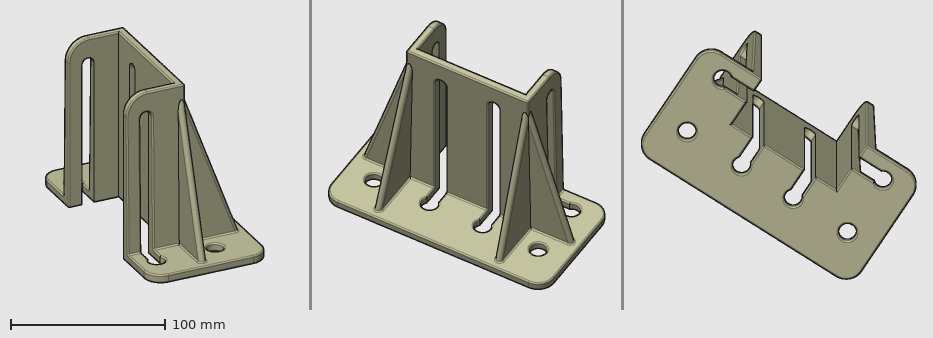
import cadquery as cq
import math

BASE_LENGTH = 168.0
BASE_DEPTH = 85.0
BASE_THICKNESS = 6.0
BASE_CORNER_RADIUS = 12.0

HEIGHT = 120.0
WALL_TOP_WIDTH = 92.0
WALL_BACK_Y = 42.0
CHANNEL_WIDTH = 81.0
CHANNEL_DEPTH = 36.0
SIDE_DRAFT_DEG = 1.0
WALL_CORNER_RADIUS = 15.0
CHANNEL_HALF = CHANNEL_WIDTH / 2
WALL_TOP_HALF = WALL_TOP_WIDTH / 2
DRAFT_SLOPE = math.tan(math.radians(SIDE_DRAFT_DEG))
WALL_FOOT_HALF = WALL_TOP_HALF + HEIGHT * DRAFT_SLOPE

HOLE_DIAMETER = 11.6
SLOT_WIDTH = 8.6
SLOT_TOP_Z = 106.0
BACK_SLOT_X = 20.0
HOLE_BACK_Y = 56.0
HOLE_FRONT_Y = HOLE_BACK_Y - WALL_BACK_Y
HOLE_X = 62.0
HOLE_CENTERS = [
    (BACK_SLOT_X, HOLE_BACK_Y),
    (HOLE_X, HOLE_BACK_Y),
    (HOLE_X, HOLE_FRONT_Y),
]

RIB_THICKNESS = 5.0
RIB_TOP_Z = 109.5
RIB_FOOT_MARGIN = 5.0
SIDE_RIB_FOOT_X = BASE_LENGTH / 2 - RIB_FOOT_MARGIN
BACK_RIB_FOOT_Y = BASE_DEPTH - RIB_FOOT_MARGIN
RIB_ROOT = 3.0

EDGE_RADIUS = 1.0
TOLERANCE = 0.05


def wall_half_width(z):
    """Half width over the drafted outer side faces at height z."""
    return WALL_TOP_HALF + (HEIGHT - z) * DRAFT_SLOPE


def make_base():
    return (
        cq.Workplane("XY")
        .box(BASE_LENGTH, BASE_DEPTH, BASE_THICKNESS, centered=(True, False, False))
        .edges("|Z")
        .fillet(BASE_CORNER_RADIUS)
    )


def make_wall():
    """Drafted block with rounded front top corners and vertical back corners; the channel is cut later."""
    block = (
        cq.Workplane("XZ")
        .polyline([
            (-WALL_FOOT_HALF, 0),
            (WALL_FOOT_HALF, 0),
            (WALL_TOP_HALF, HEIGHT),
            (-WALL_TOP_HALF, HEIGHT),
        ])
        .close()
        .extrude(-WALL_BACK_Y)
    )
    front_top_corners = block.faces("<Y").edges(">Z")
    block = front_top_corners.fillet(WALL_CORNER_RADIUS)
    back_corners = block.faces(">Y").edges().filter(lambda edge: edge.BoundingBox().zlen > HEIGHT / 2)
    return block.newObject(back_corners.vals()).fillet(EDGE_RADIUS)


def cut_channel(body):
    channel = cq.Workplane("XY").box(
        CHANNEL_WIDTH, CHANNEL_DEPTH, HEIGHT, centered=(True, False, False))
    return body.cut(channel)


def upright_rib(foot_reach):
    """Triangular rib running along +X from its root at x = -RIB_ROOT; its outer edge is fully rounded.

    The sloping crest passes through (0, RIB_TOP_Z) and (foot_reach, BASE_THICKNESS).
    The rib is centred on y = 0.
    """
    radius = RIB_THICKNESS / 2
    slope = foot_reach / (RIB_TOP_Z - BASE_THICKNESS)
    lean = math.atan(slope)
    inset = radius / math.cos(lean)

    axis_foot_x = foot_reach + slope * BASE_THICKNESS - inset
    axis_top_z = (axis_foot_x + RIB_ROOT) / slope
    slab = (
        cq.Workplane("XZ")
        .polyline([(-RIB_ROOT, 0), (axis_foot_x, 0), (-RIB_ROOT, axis_top_z)])
        .close()
        .extrude(radius, both=True)
    )
    start = cq.Vector(axis_foot_x, 0, 0)
    end = cq.Vector(-RIB_ROOT, 0, axis_top_z)
    nose = cq.Workplane(cq.Solid.makeCylinder(radius, (end - start).Length, start, end - start))
    rib = slab.union(nose)
    above_plate_middle = cq.Workplane("XY").box(
        2 * BASE_LENGTH, 2 * RIB_THICKNESS, 2 * HEIGHT, centered=(True, True, False)
    ).translate((0, 0, BASE_THICKNESS / 2))
    return rib.intersect(above_plate_middle)


def mirrored_pair(shape):
    return shape.union(shape.mirror("YZ"))


def make_side_ribs():
    """Ribs along X, their back faces flush with the back of the wall."""
    wall_half = wall_half_width(RIB_TOP_Z)
    rib = upright_rib(SIDE_RIB_FOOT_X - wall_half)
    rib = rib.translate((wall_half, WALL_BACK_Y - RIB_THICKNESS / 2, 0))
    return mirrored_pair(rib)


def make_back_ribs():
    """Ribs along +Y, leaning with the draft so that they stay flush with the side faces."""
    rib = upright_rib(BACK_RIB_FOOT_Y - WALL_BACK_Y)
    rib = rib.rotate((0, 0, 0), (0, 0, 1), 90)
    half_thickness_along_x = RIB_THICKNESS / 2 / math.cos(math.radians(SIDE_DRAFT_DEG))
    rib = rib.rotate((0, 0, 0), (0, 1, 0), -SIDE_DRAFT_DEG)
    rib = rib.translate((WALL_FOOT_HALF - half_thickness_along_x, WALL_BACK_Y, 0))
    return mirrored_pair(rib)


def slot_cutter(length):
    """Round-topped slot rising from the plate's underside, running along +Y from the origin."""
    radius = SLOT_WIDTH / 2
    straight = SLOT_TOP_Z - radius
    return (
        cq.Workplane("XZ")
        .moveTo(-radius, 0)
        .lineTo(radius, 0)
        .lineTo(radius, straight)
        .threePointArc((0, SLOT_TOP_Z), (-radius, straight))
        .close()
        .extrude(-length)
    )


def cut_holes_and_slots(body):
    """Each slot crosses a wall and the plate below it, and ends in a wider hole through the plate."""
    back_slot = slot_cutter(HOLE_BACK_Y - CHANNEL_DEPTH)
    back_slot = back_slot.translate((BACK_SLOT_X, CHANNEL_DEPTH, 0))
    side_slot = slot_cutter(HOLE_X - CHANNEL_HALF)
    side_slot = side_slot.rotate((0, 0, 0), (0, 0, 1), -90)
    side_slot = side_slot.translate((CHANNEL_HALF, HOLE_FRONT_Y, 0))
    holes = [
        cq.Workplane("XY").center(x, y).circle(HOLE_DIAMETER / 2).extrude(BASE_THICKNESS)
        for x, y in HOLE_CENTERS
    ]
    for cutter in [back_slot, side_slot] + holes:
        body = body.cut(mirrored_pair(cutter))
    return body


def blend_foot(body):
    """Fillet the concave edges where the wall and the ribs meet the top of the plate."""
    def is_foot_edge(edge):
        box = edge.BoundingBox()
        center = edge.Center()
        on_plate_top = abs(box.zmin - BASE_THICKNESS) < TOLERANCE and box.zlen < TOLERANCE
        inside_x = abs(center.x) < SIDE_RIB_FOOT_X
        inside_y = TOLERANCE < center.y < BACK_RIB_FOOT_Y
        return on_plate_top and inside_x and inside_y

    return body.newObject(body.edges().filter(is_foot_edge).vals()).fillet(EDGE_RADIUS)


def round_edges(body):
    """Round the outer rim, the channel rim, the slot and hole mouths and the whole underside.

    One edge of every tangent chain is picked; the fillet follows the rest of the chain.
    """
    outer_rim = [(0, BASE_DEPTH, BASE_THICKNESS)]
    back_channel_rim = [(0, CHANNEL_DEPTH, HEIGHT)]
    side_rim_y = (WALL_CORNER_RADIUS + CHANNEL_DEPTH) / 2
    back_slot_y = (WALL_BACK_Y + HOLE_BACK_Y) / 2
    side_slot_x = (WALL_FOOT_HALF + HOLE_X) / 2
    right_half = [
        (CHANNEL_HALF, side_rim_y, HEIGHT),
        (BACK_SLOT_X + SLOT_WIDTH / 2, back_slot_y, BASE_THICKNESS),
        (side_slot_x, HOLE_FRONT_Y + SLOT_WIDTH / 2, BASE_THICKNESS),
    ]
    right_half += [(x, y, BASE_THICKNESS) for x, y in HOLE_CENTERS]
    left_half = [(-x, y, z) for x, y, z in right_half]

    picked = body.faces("<Z").edges().vals()
    for point in outer_rim + back_channel_rim + right_half + left_half:
        picked += body.edges(cq.selectors.NearestToPointSelector(point)).vals()
    return body.newObject(picked).fillet(EDGE_RADIUS)


body = make_base().union(make_wall()).union(make_side_ribs()).union(make_back_ribs())
body = cut_channel(body)
body = blend_foot(body)
body = cut_holes_and_slots(body)
result = round_edges(body)